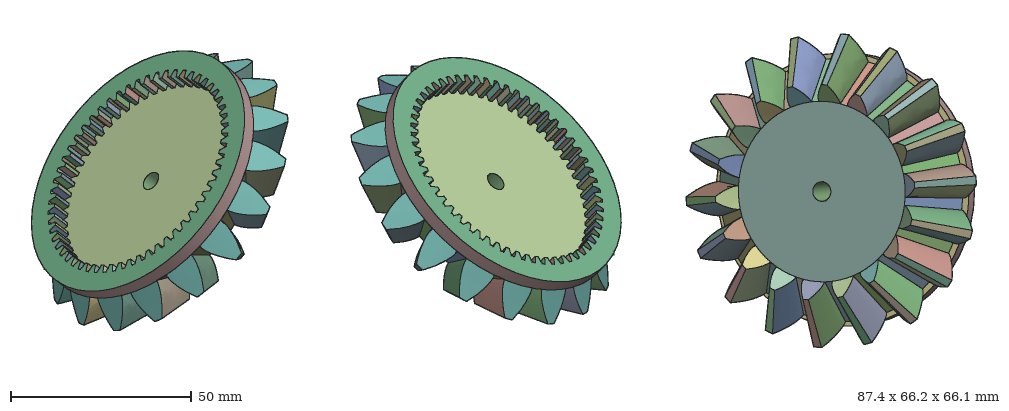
import cadquery as cq
import math


axis_tilt = 45
yaw_angle = 1.5

plate_radius = 37.9
plate_thickness = 4.0

bevel_teeth = 18
pitch_cone_angle = math.radians(45)
pressure_angle = math.radians(25)
outside_radius = 43.7
tip_drop = 12.3
face_width = 18.0
dedendum_ratio = 1.25
flank_steps = 6

gap_start_scale = 1.2
gap_finish_scale = 0.5
gap_overshoot_ratio = 1.1

ring_teeth = 57
ring_tip_radius = 29.7
ring_root_radius = 32.0
ring_slot_mouth = 2.2
ring_slot_waist = 1.75
ring_slot_end = 1.0
first_slot_angle = -math.pi / 2
pocket_depth = 5.8
bore_radius = 2.7

cos_pitch = math.cos(pitch_cone_angle)
sin_pitch = math.sin(pitch_cone_angle)
module = outside_radius / (bevel_teeth / 2 + cos_pitch)
pitch_radius = module * bevel_teeth / 2
addendum = module
dedendum = dedendum_ratio * module
cone_distance = pitch_radius / sin_pitch
pitch_height = -tip_drop + addendum * sin_pitch
apex_height = pitch_height - cone_distance * cos_pitch
small_end_scale = 1 - face_width / cone_distance

virtual_pitch_radius = pitch_radius / cos_pitch
virtual_base_radius = virtual_pitch_radius * math.cos(pressure_angle)

origin = (0, 0, 0)
x_axis = (1, 0, 0)
z_axis = (0, 0, 1)


def involute(angle):
    return math.tan(angle) - angle


def back_cone_point(offset, scale=1.0):
    """Radius and height at a distance outward from the pitch cone, shrunk towards the apex."""
    radius = pitch_radius + offset * cos_pitch
    height = pitch_height - offset * sin_pitch
    return radius * scale, apex_height + (height - apex_height) * scale


def half_tooth_angle(offset):
    """Half of the tooth's angle about the gear axis at a distance outward from the pitch cone."""
    virtual_radius = max(virtual_pitch_radius + offset, virtual_base_radius)
    local_angle = math.acos(virtual_base_radius / virtual_radius)
    half_angle_at_pitch = math.pi * module / 4 / virtual_pitch_radius
    virtual_angle = half_angle_at_pitch + involute(pressure_angle) - involute(local_angle)
    return virtual_angle / cos_pitch


def gap_point(offset, side, scale):
    radius, height = back_cone_point(offset, scale)
    angle = side * (math.pi / bevel_teeth - half_tooth_angle(offset))
    return cq.Vector(radius * math.cos(angle), radius * math.sin(angle), height)


def gap_section(scale):
    """Closed outline of the space between two teeth on a cone parallel to the back cone."""
    step = (gap_overshoot_ratio * addendum + dedendum) / flank_steps
    offsets = [-dedendum + step * i for i in range(flank_steps + 1)]
    right = [gap_point(offset, -1, scale) for offset in offsets]
    left = [gap_point(offset, 1, scale) for offset in reversed(offsets)]
    edges = [
        cq.Edge.makeSpline(right),
        cq.Edge.makeLine(right[-1], left[0]),
        cq.Edge.makeSpline(left),
        cq.Edge.makeLine(left[-1], right[0]),
    ]
    return cq.Wire.assembleEdges(edges)


def bevel_blank():
    """Turned blank: back cone from plate to tips, tip cone, front cone and a flat small end."""
    tip_large = back_cone_point(addendum)
    tip_small = back_cone_point(addendum, small_end_scale)
    root_small = back_cone_point(-dedendum, small_end_scale)
    collar_radius = outside_radius - (tip_drop - plate_thickness) / math.tan(pitch_cone_angle)
    profile = [
        (0, -plate_thickness),
        (collar_radius, -plate_thickness),
        tip_large,
        tip_small,
        root_small,
        (0, root_small[1]),
    ]
    return cq.Workplane("XZ").polyline(profile).close().revolve(360, (0, 0), (0, 1))


def bevel_gear():
    """Bevel blank with a gap cut between each two neighbouring teeth."""
    sections = [gap_section(gap_start_scale), gap_section(gap_finish_scale)]
    gap = cq.Solid.makeLoft(sections, True)
    spacing = 360 / bevel_teeth
    start, end = cq.Vector(*origin), cq.Vector(*z_axis)
    gaps = [gap.rotate(start, end, (i + 0.5) * spacing) for i in range(bevel_teeth)]
    return cq.Workplane(bevel_blank().val().cut(*gaps))


def plate():
    return cq.Workplane().circle(plate_radius).extrude(-plate_thickness)


def ring_pocket():
    """Pocket with bulging slots all round, which leaves the inward teeth standing."""
    mouth = (ring_tip_radius, ring_slot_mouth)
    waist = ((ring_tip_radius + ring_root_radius) / 2, ring_slot_waist)
    end = (ring_root_radius, ring_slot_end)

    def on_flank(station, slot, side):
        radius, width = station
        angle = first_slot_angle + 2 * math.pi * slot / ring_teeth + side * width / 2 / radius
        return radius * math.cos(angle), radius * math.sin(angle)

    outline = cq.Workplane().moveTo(*on_flank(mouth, 0, -1))
    for slot in range(ring_teeth):
        if slot > 0:
            outline = outline.lineTo(*on_flank(mouth, slot, -1))
        outline = (
            outline
            .threePointArc(on_flank(waist, slot, -1), on_flank(end, slot, -1))
            .lineTo(*on_flank(end, slot, 1))
            .threePointArc(on_flank(waist, slot, 1), on_flank(mouth, slot, 1))
        )
    return outline.close().extrude(-pocket_depth)


def bore():
    return cq.Workplane().circle(bore_radius).extrude(apex_height)


gear = bevel_gear().union(plate()).cut(bore()).cut(ring_pocket())
tilted = gear.rotate(origin, x_axis, axis_tilt)
result = tilted.rotate(origin, z_axis, yaw_angle)